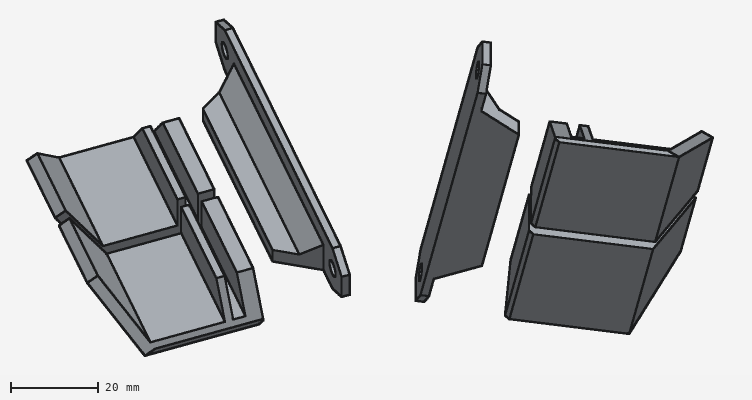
import cadquery as cq
import math

TOTAL_WIDTH = 83.6
TOTAL_DEPTH = 59.6

PLATE_THICKNESS = 2.0
PLATE_HEIGHT = 14.0
TAB_LENGTH = 12.1
HOLE_DIAMETER = 4.0
SHELF_DEPTH = 10.0
SHELF_THICKNESS = 4.0
SHELF_END_INSET = 6.5
GUSSET_SIZE = 4.8

HALF_WIDTH = 30.0
HALF_GAP = 2.5
HALVES_CENTER_X = 8.95
BASE_LENGTH = 29.0
BASE_THICKNESS = 3.0
WALL_HEIGHT = 12.0
REAR_WALL_THICKNESS = 4.0
FRONT_WALL_THICKNESS = 2.0
SLOT_WIDTH = 3.0
REAR_CHAMFER = 1.0
SIDE_EDGE_HEIGHT = 1.5
WALL_TOP_INSET = 6.7
FLAP_LENGTH = 20.0
FLAP_THICKNESS = 3.0
FLAP_TILT = 60.0
FLAP_END_INSET = 11.2

WEDGE_DEPTH = FLAP_THICKNESS + BASE_THICKNESS
FLAP_REACH = FLAP_LENGTH * math.cos(math.radians(FLAP_TILT))
PLATE_BACK_Y = TOTAL_DEPTH - FLAP_REACH
PLATE_FRONT_Y = PLATE_BACK_Y - PLATE_THICKNESS


def bracket_plate():
    """Upright plate whose ends are halves of pointed hexagons."""
    half_width = TOTAL_WIDTH / 2
    corner_x = half_width - TAB_LENGTH / 2
    corner_height = PLATE_HEIGHT / 4
    outline = [
        (-corner_x, 0),
        (corner_x, 0),
        (half_width, corner_height),
        (half_width, PLATE_HEIGHT - corner_height),
        (corner_x, PLATE_HEIGHT),
        (-corner_x, PLATE_HEIGHT),
        (-half_width, PLATE_HEIGHT - corner_height),
        (-half_width, corner_height),
    ]
    plate = cq.Workplane("XZ", origin=(0, PLATE_BACK_Y, 0)).polyline(outline).close().extrude(PLATE_THICKNESS)
    holes = (
        cq.Workplane("XZ", origin=(0, PLATE_BACK_Y, 0))
        .pushPoints([(-corner_x, PLATE_HEIGHT / 2), (corner_x, PLATE_HEIGHT / 2)])
        .circle(HOLE_DIAMETER / 2)
        .extrude(PLATE_THICKNESS)
    )
    return plate.cut(holes)


def bracket_shelf():
    """Shelf with a sloped gusset along the plate, both ends cut to a taper."""
    root_half_width = TOTAL_WIDTH / 2 - TAB_LENGTH
    tip_half_width = root_half_width - SHELF_END_INSET
    shelf_front_y = PLATE_FRONT_Y - SHELF_DEPTH
    section = [
        (PLATE_FRONT_Y, 0),
        (PLATE_FRONT_Y, SHELF_THICKNESS + GUSSET_SIZE),
        (PLATE_FRONT_Y - GUSSET_SIZE, SHELF_THICKNESS),
        (shelf_front_y, SHELF_THICKNESS),
        (shelf_front_y, 0),
    ]
    plan = [
        (-root_half_width, PLATE_FRONT_Y),
        (root_half_width, PLATE_FRONT_Y),
        (tip_half_width, shelf_front_y),
        (-tip_half_width, shelf_front_y),
    ]
    profile = cq.Workplane("YZ").polyline(section).close().extrude(root_half_width, both=True)
    taper = cq.Workplane("XY").polyline(plan).close().extrude(PLATE_HEIGHT)
    return profile.intersect(taper)


def clip_channel():
    """Base with two upright walls and a slot between them, outer end sloped inward.

    The inner end lies on X = 0 and the outer end on X = HALF_WIDTH.
    """
    rear_wall_front_y = BASE_LENGTH - REAR_WALL_THICKNESS
    front_wall_rear_y = rear_wall_front_y - SLOT_WIDTH
    front_wall_front_y = front_wall_rear_y - FRONT_WALL_THICKNESS
    section = [
        (0, 0),
        (BASE_LENGTH - REAR_CHAMFER, 0),
        (BASE_LENGTH, REAR_CHAMFER),
        (BASE_LENGTH, WALL_HEIGHT),
        (rear_wall_front_y, WALL_HEIGHT),
        (rear_wall_front_y, BASE_THICKNESS),
        (front_wall_rear_y, BASE_THICKNESS),
        (front_wall_rear_y, WALL_HEIGHT),
        (front_wall_front_y, WALL_HEIGHT),
        (front_wall_front_y, BASE_THICKNESS),
        (0, BASE_THICKNESS),
    ]
    end_outline = [
        (0, 0),
        (HALF_WIDTH, 0),
        (HALF_WIDTH, SIDE_EDGE_HEIGHT),
        (HALF_WIDTH - WALL_TOP_INSET, WALL_HEIGHT),
        (0, WALL_HEIGHT),
    ]
    profile = cq.Workplane("YZ").polyline(section).close().extrude(HALF_WIDTH)
    sloped_end = cq.Workplane("XZ").polyline(end_outline).close().extrude(-BASE_LENGTH)
    return profile.intersect(sloped_end)


def tilt_to_flap(body):
    """Lean an upright body forward about the hinge edge, into the plane of the flap."""
    return body.rotate((0, 0, 0), (1, 0, 0), 90 - FLAP_TILT)


def clip_flap():
    """Tilted rectangular flap rising from the front edge of the base."""
    upright = cq.Workplane("XY").box(HALF_WIDTH, FLAP_THICKNESS, FLAP_LENGTH, centered=False)
    return tilt_to_flap(upright)


def flap_end_wedge():
    """Wedge that narrows the flap toward its free edge and bevels the base corner beside it."""
    outline = [
        (HALF_WIDTH, 0),
        (HALF_WIDTH, FLAP_LENGTH),
        (HALF_WIDTH - FLAP_END_INSET, FLAP_LENGTH),
    ]
    upright = cq.Workplane("XZ").polyline(outline).close().extrude(-WEDGE_DEPTH)
    return tilt_to_flap(upright)


def clip_half(side):
    """One clip half; side is +1 for the right one and -1 for its mirror image."""
    half = clip_channel().union(clip_flap()).cut(flap_end_wedge())
    if side < 0:
        half = half.mirror("YZ")
    return half.translate((HALVES_CENTER_X + side * HALF_GAP / 2, 0, 0))


bracket = bracket_plate().union(bracket_shelf())
clip_halves = [clip_half(side) for side in (-1, 1)]

result = cq.Compound.makeCompound([bracket.val(), *[half.val() for half in clip_halves]])